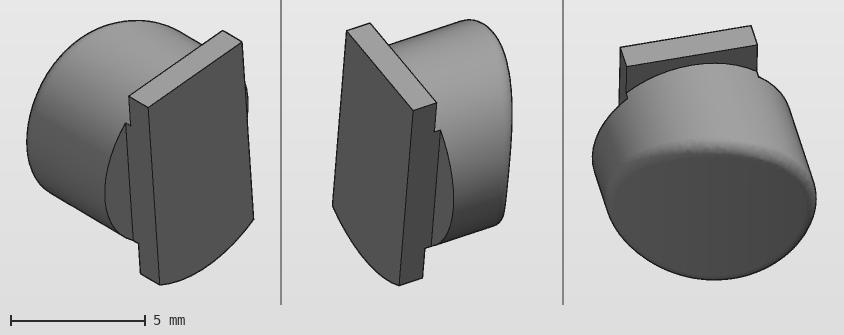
import cadquery as cq
import math

tilt_angle = 4.0
head_diameter = 7.6
head_height = 4.6
edge_radius = 0.5
crown_radius = 12.01
crown_crest_y = -2.9
crown_tilt = 1.0
crown_margin = 0.935
plate_width = 4.99
plate_thickness = 1.01
plate_top = 4.31
plate_bottom_radius = 4.99
shoulder_gap = 0.26

head_radius = head_diameter / 2
half_width = plate_width / 2


def crown_x(y):
    """Front surface position on the crown arc."""
    offset = y - crown_crest_y
    return -head_height + crown_radius - math.sqrt(crown_radius**2 - offset**2)


def make_head():
    """Round head with a crowned, slightly leaning front and a rounded rim."""
    reach = head_radius + crown_margin
    crown_block = (
        cq.Workplane("XY")
        .moveTo(reach, -reach)
        .lineTo(crown_x(-reach), -reach)
        .threePointArc((crown_x(0), 0), (crown_x(reach), reach))
        .lineTo(reach, reach)
        .close()
        .extrude(reach, both=True)
        .rotate((-head_height, 0, 0), (-head_height, 1, 0), -crown_tilt)
    )
    cylinder = cq.Workplane("YZ").circle(head_radius).extrude(-2 * head_height)
    head = cylinder.intersect(crown_block)
    front_rim = head.edges("not (>X or |X)")
    return front_rim.fillet(edge_radius)


def cut_shoulders(head):
    """Set the head back from the plate on both sides of the plate's width."""
    side_width = head_radius - half_width
    side_center = half_width + side_width / 2
    gaps = (
        cq.Workplane("XY")
        .pushPoints([(-shoulder_gap / 2, side_center), (-shoulder_gap / 2, -side_center)])
        .rect(shoulder_gap, side_width)
        .extrude(head_radius, both=True)
    )
    return head.cut(gaps)


def make_plate():
    """Back plate with a straight upper end and a round lower end."""
    corner_z = -math.sqrt(plate_bottom_radius**2 - half_width**2)
    return (
        cq.Workplane("YZ")
        .moveTo(-half_width, plate_top)
        .lineTo(-half_width, corner_z)
        .threePointArc((0, -plate_bottom_radius), (half_width, corner_z))
        .lineTo(half_width, plate_top)
        .close()
        .extrude(plate_thickness)
    )


upright_part = cut_shoulders(make_head()).union(make_plate())
result = upright_part.rotate((0, 0, 0), (0, 1, 0), -tilt_angle)